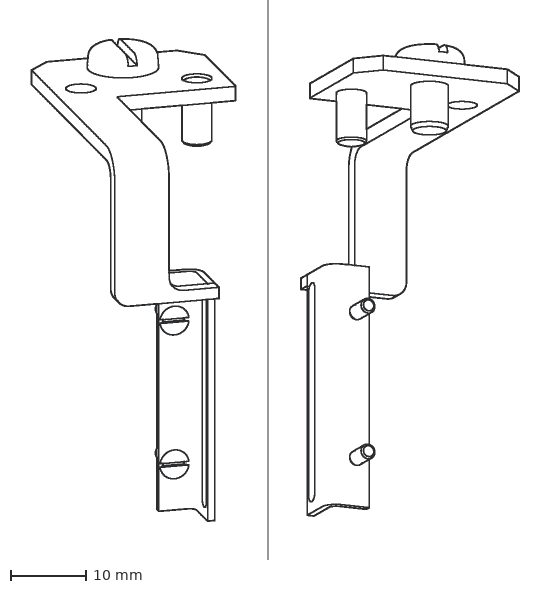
import cadquery as cq
import math


overall_length = 42.2
overall_height = 55.7
plate_thickness = 2.0
plate_width = 24.0
plate_length = 17.65
plate_chamfer = 3.0
plate_corner_radius = 0.3
arm_width = 7.5
bend_outer_radius = 4.0
bend_inner_radius = bend_outer_radius - plate_thickness
leg_bottom = 31.45
leg_corner_radius = 2.0
tab_back = 14.4

rail_height = 33.05
rail_width = 7.0
rail_depth = 5.95
rail_thickness = 1.0
rail_outer_radius = 2.0
rail_inner_radius = rail_outer_radius - rail_thickness
web_slot_width = 2.0
web_slot_length = 30.0
web_slot_edge_margin = 0.55

screw_x = 5.25
screw_diameter = 5
screw_reach = 6.1
screw_tip_chamfer_height = 0.6
screw_tip_chamfer_depth = 0.3
head_diameter = 9.5
head_height = 2.9
head_side_height = 1.45
head_draft = 0.1
head_slot_width = 1.2
head_slot_depth = 1.35

pin_x = 12.75
pin_diameter = 4.0
pin_length = 9.25
pin_dome_height = 0.4
pin_edge_height = 0.3
pin_edge_depth = 0.2
pin_offset = 8.0

stud_pitch = 20.0
stud_y = 10.45
stud_reach = 4.35
stud_diameter = 2.0
stud_neck_diameter = 1.5
stud_neck_length = 0.35
stud_tip_chamfer = 0.25
stud_head_diameter = 4.0
stud_head_protrusion = 0.5
stud_slot_width = 0.5
stud_slot_depth = 0.6

plate_top = overall_height - head_height
plate_bottom = plate_top - plate_thickness
plate_middle_y = plate_width / 2
leg_inner_x = overall_length - plate_thickness
rail_left = leg_inner_x - rail_width
flange_inner_x = rail_left + rail_thickness
rail_front = tab_back - rail_depth
pin_y = plate_middle_y + pin_offset
open_hole_y = plate_middle_y - pin_offset
stud_heights = [rail_height / 2 - stud_pitch / 2, rail_height / 2 + stud_pitch / 2]
diagonal_share = math.sqrt(0.5)


def cylinder_up(x, y, diameter, bottom, top):
    return cq.Workplane("XY", origin=(x, y, bottom)).circle(diameter / 2).extrude(top - bottom)


def make_plate_and_arm():
    """Flat plate with chamfered left corners, continued by the arm up to the bend."""
    plate = (
        cq.Workplane("XY", origin=(0, 0, plate_bottom))
        .moveTo(plate_chamfer, 0)
        .lineTo(overall_length - bend_outer_radius, 0)
        .lineTo(overall_length - bend_outer_radius, arm_width)
        .lineTo(plate_length, arm_width)
        .lineTo(plate_length, plate_width)
        .lineTo(plate_chamfer, plate_width)
        .lineTo(0, plate_width - plate_chamfer)
        .lineTo(0, plate_chamfer)
        .close()
        .extrude(plate_thickness)
    )
    corner = cq.selectors.BoxSelector(
        (plate_length - plate_corner_radius, 0, plate_bottom),
        (plate_length + plate_corner_radius, plate_width + plate_corner_radius, plate_top),
    )
    return plate.edges("|Z").edges(corner).fillet(plate_corner_radius)


def make_bend():
    """Quarter-turn bend that joins the arm to the leg."""
    bend_x = overall_length - bend_outer_radius
    bend_z = plate_top - bend_outer_radius
    outer_mid = bend_outer_radius * diagonal_share
    inner_mid = bend_inner_radius * diagonal_share
    return (
        cq.Workplane("XZ")
        .moveTo(bend_x, plate_top)
        .threePointArc((bend_x + outer_mid, bend_z + outer_mid), (overall_length, bend_z))
        .lineTo(leg_inner_x, bend_z)
        .threePointArc((bend_x + inner_mid, bend_z + inner_mid), (bend_x, plate_bottom))
        .close()
        .extrude(-arm_width)
    )


def make_leg_and_tab():
    """Vertical leg below the bend, with the tab reaching back to the rail."""
    leg_top = plate_top - bend_outer_radius
    leg = (
        cq.Workplane("YZ", origin=(leg_inner_x, 0, 0))
        .moveTo(0, leg_bottom)
        .lineTo(tab_back, leg_bottom)
        .lineTo(tab_back, rail_height)
        .lineTo(arm_width, rail_height)
        .lineTo(arm_width, leg_top)
        .lineTo(0, leg_top)
        .close()
        .extrude(plate_thickness)
    )
    front_corner = cq.selectors.NearestToPointSelector((leg_inner_x + plate_thickness / 2, 0, leg_bottom))
    inner_corner = cq.selectors.NearestToPointSelector(
        (leg_inner_x + plate_thickness / 2, arm_width, rail_height)
    )
    leg = leg.edges("|X").edges(front_corner).fillet(leg_corner_radius)
    return leg.edges("|X").edges(inner_corner).fillet(leg_corner_radius)


def make_bracket():
    bracket = make_plate_and_arm().union(make_bend()).union(make_leg_and_tab())
    holes = [
        (screw_x, plate_middle_y, screw_diameter),
        (pin_x, pin_y, pin_diameter),
        (pin_x, open_hole_y, pin_diameter),
    ]
    for x, y, diameter in holes:
        bracket = bracket.cut(cylinder_up(x, y, diameter, plate_bottom, plate_top))
    return bracket


def make_rail():
    """Angle section with a rounded bend, a long slot in its web and stud seats in its flange."""
    web_inner_y = tab_back - rail_thickness
    bend_x = rail_left + rail_outer_radius
    bend_y = tab_back - rail_outer_radius
    outer_mid = rail_outer_radius * diagonal_share
    inner_mid = rail_inner_radius * diagonal_share
    rail = (
        cq.Workplane("XY")
        .moveTo(rail_left, rail_front)
        .lineTo(rail_left, bend_y)
        .threePointArc((bend_x - outer_mid, bend_y + outer_mid), (bend_x, tab_back))
        .lineTo(leg_inner_x, tab_back)
        .lineTo(leg_inner_x, web_inner_y)
        .lineTo(bend_x, web_inner_y)
        .threePointArc((bend_x - inner_mid, bend_y + inner_mid), (flange_inner_x, bend_y))
        .lineTo(flange_inner_x, rail_front)
        .close()
        .extrude(rail_height)
    )
    slot_x = leg_inner_x - web_slot_edge_margin - web_slot_width / 2
    slot = (
        cq.Workplane("XZ", origin=(slot_x, tab_back, rail_height / 2))
        .slot2D(web_slot_length, web_slot_width, 90)
        .extrude(rail_thickness)
    )
    rail = rail.cut(slot)
    for height in stud_heights:
        rail = rail.cut(make_stud_blank(height))
    return rail


def make_screw():
    """Slotted round-edged screw whose head rests on the plate."""
    radius = screw_diameter / 2
    tip = plate_bottom - screw_reach
    head_radius = head_diameter / 2
    shoulder_radius = head_radius - head_draft
    edge_radius = head_height - head_side_height
    edge_z = plate_top + head_side_height
    crown_radius = shoulder_radius - edge_radius
    edge_mid = edge_radius * diagonal_share
    screw = (
        cq.Workplane("XZ")
        .moveTo(0, tip)
        .lineTo(radius - screw_tip_chamfer_depth, tip)
        .lineTo(radius, tip + screw_tip_chamfer_height)
        .lineTo(radius, plate_top)
        .lineTo(head_radius, plate_top)
        .lineTo(shoulder_radius, edge_z)
        .threePointArc((crown_radius + edge_mid, edge_z + edge_mid), (crown_radius, overall_height))
        .lineTo(0, overall_height)
        .close()
        .revolve(360, (0, 0, 0), (0, 1, 0))
    )
    slot_floor = overall_height - head_slot_depth
    slot = (
        cq.Workplane("XY", origin=(0, 0, slot_floor))
        .rect(head_diameter, head_slot_width)
        .extrude(head_slot_depth)
    )
    return screw.cut(slot).translate((screw_x, plate_middle_y, 0))


def make_pin():
    """Dowel pin whose upper dome just reaches the plate's top face."""
    radius = pin_diameter / 2
    bottom = plate_top - pin_length
    rim = radius - pin_edge_depth
    end_height = pin_dome_height + pin_edge_height
    dome_radius = (rim**2 + pin_dome_height**2) / (2 * pin_dome_height)
    mid_rise = dome_radius - math.sqrt(dome_radius**2 - (rim / 2) ** 2)
    return (
        cq.Workplane("XZ")
        .moveTo(0, bottom)
        .threePointArc((rim / 2, bottom + mid_rise), (rim, bottom + pin_dome_height))
        .lineTo(radius, bottom + end_height)
        .lineTo(radius, plate_top - end_height)
        .lineTo(rim, plate_top - pin_dome_height)
        .threePointArc((rim / 2, plate_top - mid_rise), (0, plate_top))
        .close()
        .revolve(360, (0, 0, 0), (0, 1, 0))
        .translate((pin_x, pin_y, 0))
    )


def make_stud_blank(height):
    """Stud without its driver slot: tip, shank, neck and a 90 degree countersunk head."""
    tip_x = rail_left - stud_reach
    shank_end_x = rail_left - stud_neck_length
    head_face_x = flange_inner_x + stud_head_protrusion
    radius = stud_diameter / 2
    neck_radius = stud_neck_diameter / 2
    head_radius = stud_head_diameter / 2
    cone_start_x = head_face_x - (head_radius - neck_radius)
    return (
        cq.Workplane("XY")
        .moveTo(tip_x, 0)
        .lineTo(tip_x, radius - stud_tip_chamfer)
        .lineTo(tip_x + stud_tip_chamfer, radius)
        .lineTo(shank_end_x, radius)
        .lineTo(shank_end_x, neck_radius)
        .lineTo(cone_start_x, neck_radius)
        .lineTo(head_face_x, head_radius)
        .lineTo(head_face_x, 0)
        .close()
        .revolve(360, (0, 0, 0), (1, 0, 0))
        .translate((0, stud_y, height))
    )


def make_stud(height):
    head_face_x = flange_inner_x + stud_head_protrusion
    slot = (
        cq.Workplane("YZ", origin=(head_face_x, stud_y, height))
        .rect(stud_head_diameter, stud_slot_width)
        .extrude(-stud_slot_depth)
    )
    return make_stud_blank(height).cut(slot)


bracket = make_bracket()
rail = make_rail()
screw = make_screw()
pin = make_pin()
studs = [make_stud(height) for height in stud_heights]

result = cq.Compound.makeCompound(
    [bracket.val(), rail.val(), screw.val(), pin.val(), *[stud.val() for stud in studs]]
)